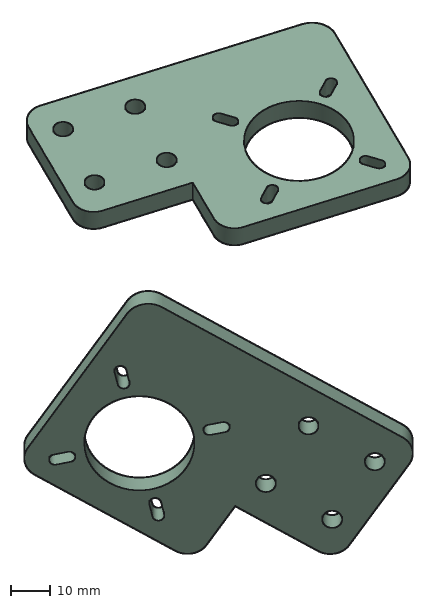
import cadquery as cq

width = 59.5
length = 84.6
thickness = 6.35
foot_width = 40.1
foot_length = 30.7
corner_radius = 5.75
rear_left_radius = 6.4

motor_x = 37.3
motor_y = 61.3
motor_bore_diameter = 28.0
slot_circle_radius = 20.1
slot_length = 6.8
slot_width = 3.05

mount_diameter = 5.1
mount_spacing_x = 20.3
mount_spacing_y = 20.0
mount_center_x = foot_width / 2
mount_center_y = 17.8


def make_plate():
    """L-shaped plate with rounded outer corners and a sharp inner corner."""
    outline = [
        (0, 0),
        (foot_width, 0),
        (foot_width, foot_length),
        (width, foot_length),
        (width, length),
        (0, length),
    ]
    plate = cq.Workplane("XY").polyline(outline).close().extrude(thickness)
    rear_left = cq.selectors.NearestToPointSelector((0, length, thickness / 2))
    plate = plate.edges(rear_left).fillet(rear_left_radius)
    for x, y in [(0, 0), (foot_width, 0), (width, foot_length), (width, length)]:
        corner = cq.selectors.NearestToPointSelector((x, y, thickness / 2))
        plate = plate.edges(corner).fillet(corner_radius)
    return plate


def make_motor_cutout():
    """Round motor opening and its radial slots."""
    cutout = (
        cq.Workplane("XY")
        .center(motor_x, motor_y)
        .circle(motor_bore_diameter / 2)
        .extrude(thickness)
    )
    slots = (
        cq.Workplane("XY")
        .center(motor_x, motor_y)
        .polarArray(slot_circle_radius, 45, 360, 4)
        .slot2D(slot_length, slot_width)
        .extrude(thickness)
    )
    return cutout.union(slots)


def make_mount_holes():
    """Through holes at the corners of the foot pattern."""
    return (
        cq.Workplane("XY")
        .center(mount_center_x, mount_center_y)
        .rarray(mount_spacing_x, mount_spacing_y, 2, 2)
        .circle(mount_diameter / 2)
        .extrude(thickness)
    )


result = make_plate().cut(make_motor_cutout()).cut(make_mount_holes())